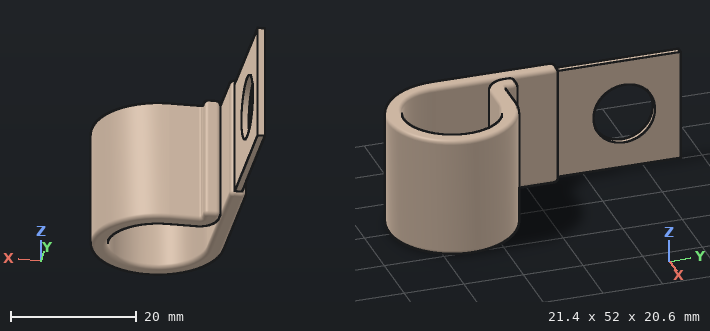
import cadquery as cq
import math

total_length = 52.0
loop_radius = 10.7
cushion_width = 20.6
cushion = 0.8
metal_thickness = 1.2
cushion_end = 20.65
hole_diameter = 10.3
hole_to_end = 9.45
hook_inner_radius = 0.4
hook_straight = 1.75

band = metal_thickness + 2 * cushion
metal_width = cushion_width - 2 * cushion
bore_radius = loop_radius - band
tab_end = total_length - loop_radius
hook_outer_radius = hook_inner_radius + band
hook_x = hook_outer_radius - bore_radius
hook_y = loop_radius + hook_inner_radius
lip_end = hook_y + hook_straight
diagonal = math.sqrt(0.5)


def round_edges(body, joint_face):
    """Round every outer edge except those of the joint."""
    end_edges = body.edges("|Z").edges(">Y")
    edges = body.faces("<Z or >Z").edges().add(end_edges)
    joint_edges = body.faces(joint_face).edges().vals()
    free_edges = [e for e in edges.vals() if not any(e.isSame(j) for j in joint_edges)]
    return body.newObject(free_edges).fillet(cushion)


def straight_leg():
    leg = (
        cq.Workplane("XY")
        .box(band, cushion_end, cushion_width, centered=(False, False, True))
        .translate((-loop_radius, 0, 0))
    )
    return round_edges(leg, "<Y")


def loop_and_hook():
    outer_mid = hook_outer_radius * diagonal
    inner_mid = hook_inner_radius * diagonal
    body = (
        cq.Workplane("XY", origin=(0, 0, -cushion_width / 2))
        .moveTo(-loop_radius, 0)
        .threePointArc((0, -loop_radius), (loop_radius, 0))
        .threePointArc((loop_radius * diagonal, loop_radius * diagonal), (0, loop_radius))
        .lineTo(hook_x, loop_radius)
        .threePointArc((hook_x - inner_mid, hook_y - inner_mid), (hook_x - hook_inner_radius, hook_y))
        .lineTo(hook_x - hook_inner_radius, lip_end)
        .lineTo(-bore_radius, lip_end)
        .lineTo(-bore_radius, hook_y)
        .threePointArc((hook_x - outer_mid, hook_y - outer_mid), (hook_x, bore_radius))
        .lineTo(0, bore_radius)
        .threePointArc((bore_radius * diagonal, bore_radius * diagonal), (bore_radius, 0))
        .threePointArc((0, -bore_radius), (-bore_radius, 0))
        .close()
        .extrude(cushion_width)
    )
    joint = cq.selectors.BoxSelector(
        (-loop_radius, -cushion, -cushion_width), (-bore_radius, cushion, cushion_width)
    )
    return round_edges(body, joint)


def metal_tab():
    tab = (
        cq.Workplane("XY")
        .box(metal_thickness, tab_end, metal_width, centered=(False, False, True))
        .translate((-loop_radius + cushion, 0, 0))
    )
    hole = (
        cq.Workplane("YZ", origin=(-loop_radius, 0, 0))
        .center(tab_end - hole_to_end, 0)
        .circle(hole_diameter / 2)
        .extrude(band)
    )
    return tab.cut(hole)


result = straight_leg().union(loop_and_hook()).union(metal_tab())